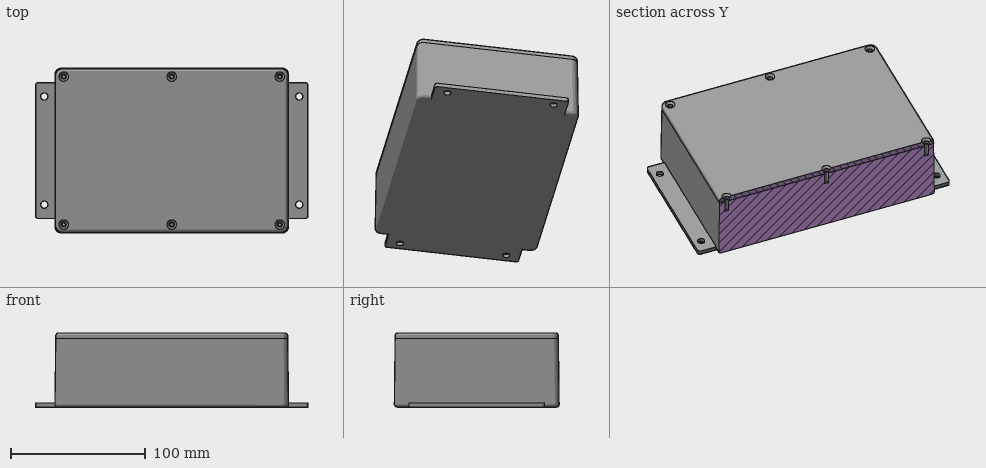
import cadquery as cq
import math

flange_span = 202.5
box_length = 173.8
box_width = 122.7
total_height = 55.3

draft_angle = 0.7
corner_radius = 5.0
top_edge_radius = 2.3
bottom_edge_radius = 2.3
lid_height = 4.3
box_height = total_height - lid_height

flange_width = 101.0
flange_thickness = 3.2
flange_corner_radius = 2.0
mount_hole_diameter = 5.2
mount_hole_x = 94.75
mount_hole_y = 40.2

screw_x = 80.3
screw_y = 55.0
clearance_hole_diameter = 3.8
pilot_hole_diameter = 2.8
countersink_diameter = 7.0
countersink_angle = 90.0
pilot_hole_depth = 10.0

screw_points = [(x, y) for x in (-screw_x, 0, screw_x) for y in (-screw_y, screw_y)]
mount_points = [(x, y) for x in (-mount_hole_x, mount_hole_x) for y in (-mount_hole_y, mount_hole_y)]


def drafted_block(bottom, height):
    """Solid block between two heights, its walls leaning inward by the draft angle.

    The walls reach the full box size where the bottom rounding ends, and the
    upright corners keep one radius all the way up.
    """
    inset = (bottom - bottom_edge_radius) * math.tan(math.radians(draft_angle))
    return (
        cq.Workplane("XY", origin=(0, 0, bottom))
        .rect(box_length - 2 * inset, box_width - 2 * inset)
        .extrude(height, taper=draft_angle)
        .edges("not #Z")
        .fillet(corner_radius)
    )


def make_box():
    """Box with rounded bottom edge, end flanges and blind pilot holes for the screws."""
    body = drafted_block(0, box_height).faces("<Z").edges().fillet(bottom_edge_radius)
    flange = (
        cq.Workplane("XY")
        .rect(flange_span, flange_width)
        .extrude(flange_thickness)
        .edges("|Z")
        .fillet(flange_corner_radius)
    )
    mount_holes = (
        cq.Workplane("XY")
        .pushPoints(mount_points)
        .circle(mount_hole_diameter / 2)
        .extrude(flange_thickness)
    )
    pilot_holes = (
        cq.Workplane("XY", origin=(0, 0, box_height - pilot_hole_depth))
        .pushPoints(screw_points)
        .circle(pilot_hole_diameter / 2)
        .extrude(pilot_hole_depth)
    )
    return body.union(flange).cut(mount_holes).cut(pilot_holes)


def make_lid():
    """Lid with rounded top edge and countersunk clearance holes."""
    lid = drafted_block(box_height, lid_height).faces(">Z").edges().fillet(top_edge_radius)
    return (
        lid.faces(">Z")
        .workplane(origin=(0, 0, total_height))
        .pushPoints(screw_points)
        .cskHole(clearance_hole_diameter, countersink_diameter, countersink_angle)
    )


box = make_box()
lid = make_lid()
result = cq.Compound.makeCompound([box.solids().val(), lid.solids().val()])